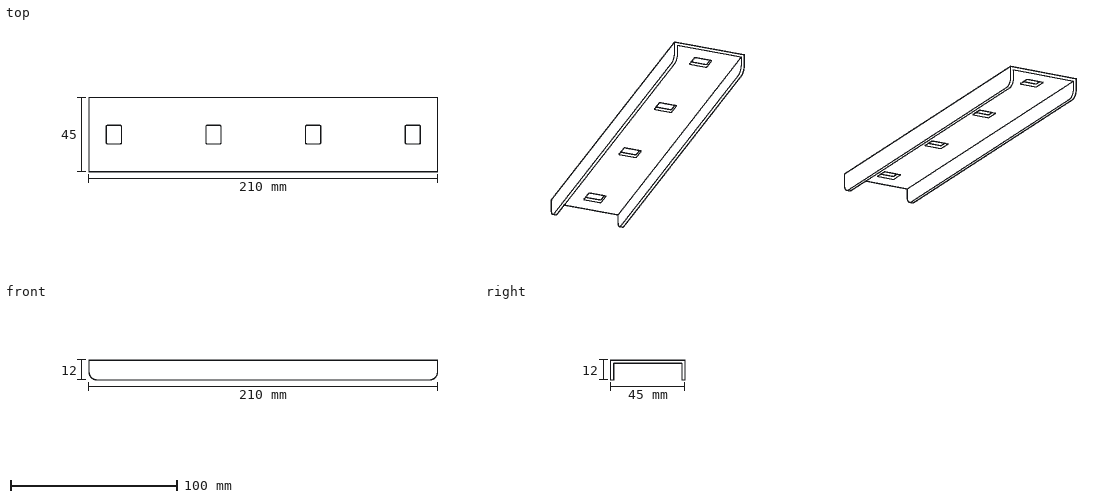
import cadquery as cq

length = 210.0
width = 45.0
height = 12.0

thickness = 2.0
flange_corner_radius = 5.0

hole_length = 9.0
hole_width = 11.0
hole_corner_radius = 0.5
hole_count = 4
hole_pitch = 60.0


def make_channel():
    """Channel opening downward: a flat web with a flange along each long side."""
    outer = cq.Workplane("XY").box(length, width, height, centered=(True, True, False))
    opening_width = width - 2 * thickness
    opening_height = height - thickness
    opening = cq.Workplane("XY").box(length, opening_width, opening_height, centered=(True, True, False))
    return outer.cut(opening)


def round_flange_corners(body):
    """Round the lower corners at both ends of each flange."""
    return body.faces("<X or >X").edges("|Y and <Z").fillet(flange_corner_radius)


def cut_web_holes(body):
    """Cut the evenly spaced, round-cornered rectangular holes through the web."""
    cutters = (
        cq.Workplane("XY")
        .rarray(hole_pitch, 1, hole_count, 1)
        .rect(hole_length, hole_width)
        .extrude(height)
        .edges("|Z")
        .fillet(hole_corner_radius)
    )
    return body.cut(cutters)


channel = make_channel()
channel = round_flange_corners(channel)
result = cut_web_holes(channel)